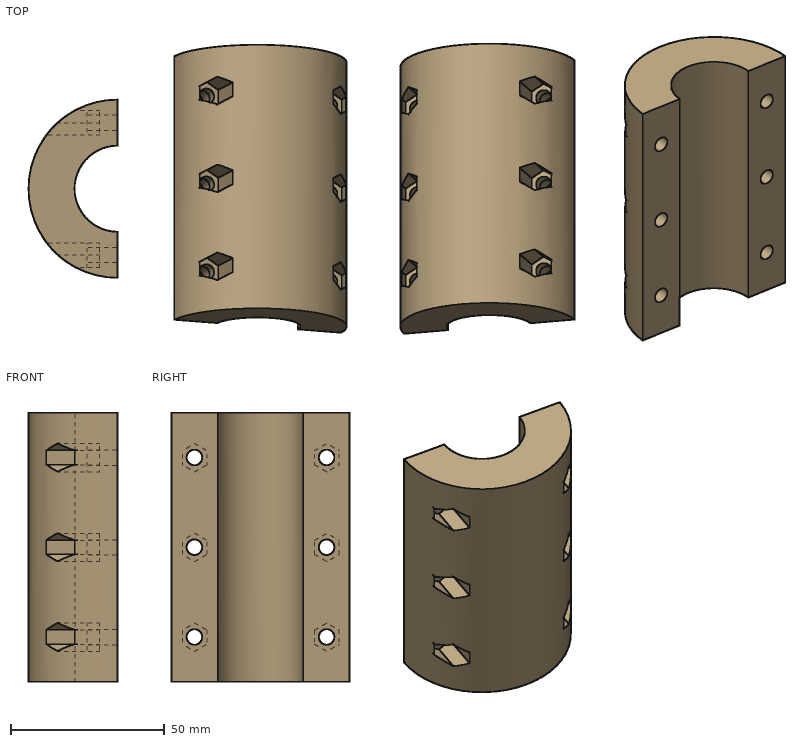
import cadquery as cq
import math

length = 87.8
outer_diameter = 58.2
inner_diameter = 28.0
outer_radius = outer_diameter / 2
inner_radius = inner_diameter / 2

row_count = 3
row_pitch = length / row_count
screw_y = (outer_radius + inner_radius) / 2
screw_diameter = 5.0

nut_across_flats = 8.0
nut_across_corners = nut_across_flats / math.cos(math.pi / 6)
nut_height = 4.0
nut_outer_face_x = -10.0
seat_x = nut_outer_face_x + nut_height

screw_points = [
    (side * screw_y, (row + 0.5) * row_pitch)
    for side in (-1, 1)
    for row in range(row_count)
]


def hex_prism(start_x, end_x, y, z):
    """Hexagonal prism along X, with two corners pointing up and down."""
    return (
        cq.Workplane("YZ", origin=(start_x, y, z))
        .transformed(rotate=(0, 0, 90))
        .polygon(6, nut_across_corners)
        .extrude(end_x - start_x)
    )


def screw_hole(start_x, end_x, y, z):
    """Round cutter along X for a screw."""
    return (
        cq.Workplane("YZ", origin=(start_x, y, z))
        .circle(screw_diameter / 2)
        .extrude(end_x - start_x)
    )


def make_half_sleeve():
    """Half tube with a nut pocket and a through hole at every screw."""
    sleeve = (
        cq.Workplane("XY")
        .moveTo(0, outer_radius)
        .threePointArc((-outer_radius, 0), (0, -outer_radius))
        .lineTo(0, -inner_radius)
        .threePointArc((-inner_radius, 0), (0, inner_radius))
        .close()
        .extrude(length)
    )
    for y, z in screw_points:
        sleeve = sleeve.cut(hex_prism(-outer_radius, seat_x, y, z))
        sleeve = sleeve.cut(screw_hole(-outer_radius, 0, y, z))
    return sleeve


def make_nut(y, z):
    """Nut filling the bottom of its pocket, bored for the screw."""
    blank = hex_prism(nut_outer_face_x, seat_x, y, z)
    return blank.cut(screw_hole(nut_outer_face_x, seat_x, y, z))


half_sleeve = make_half_sleeve()
nuts = [make_nut(y, z) for y, z in screw_points]

result = cq.Compound.makeCompound([half_sleeve.val(), *[nut.val() for nut in nuts]])